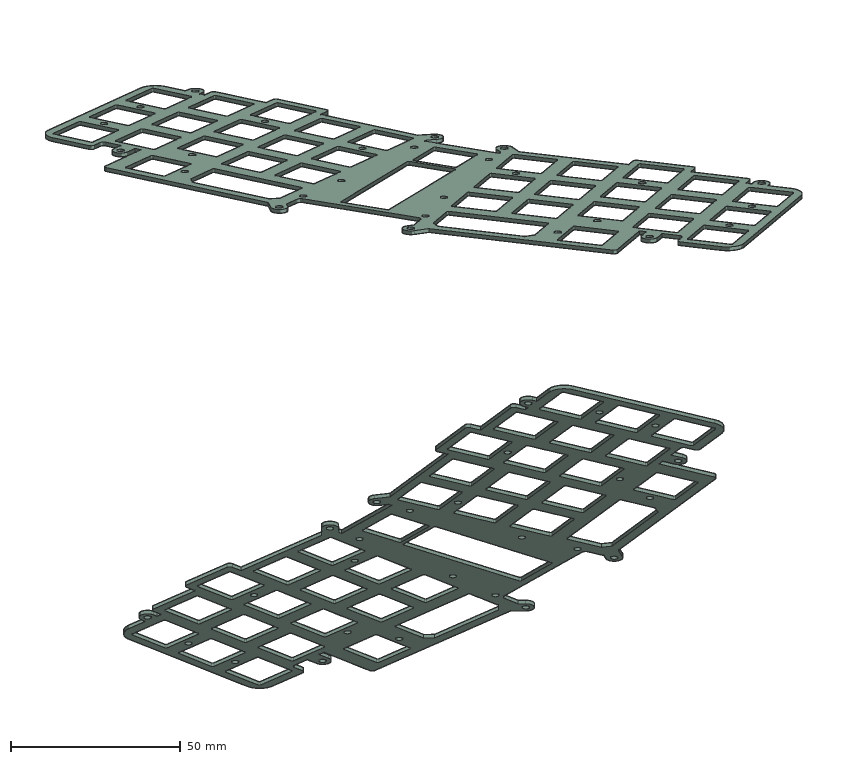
import cadquery as cq
import math

thickness = 1.2
splay_angle = 7.0

column_count = 5
row_count = 3
pitch = 95.2 / column_count
half_pitch = pitch / 2
stagger = pitch / 4
cutout_web = 4.9
cutout = pitch - cutout_web
cutout_radius = 0.5
inner_edge_u = -16.2
inner_rim = 1.71
inner_column_u = inner_edge_u - inner_rim - half_pitch
home_row_v = 4.5
column_steps = [-1, 0, 1, 0, 0]
column_u = [inner_column_u - pitch * (column_count - 1 - i) for i in range(column_count)]
column_v = [home_row_v + stagger * step for step in column_steps]

thumb_v = home_row_v - 2 * pitch
wide_key_u = inner_column_u - half_pitch
wide_cutout = 32.0
wide_corner_cut = 2.3
small_key_units = 1.25
wide_key_units = 2.0
small_key_u = wide_key_u - pitch * (small_key_units + wide_key_units) / 2

top_rims = [1.0, 0.5, 0.35, 0.5, 0.5]
bottom_rim = 0.7
outer_rim = 0.53
thumb_rim = 0.8
column_rim = 0.28
outer_corner_radius = 5.3
corner_radius = 1.2

screw_diameter = 2.1
tab_hole_diameter = 2.2
tab_radius = 2.5
tab_arm = 9.3
screw_inset = 0.8
thumb_screw_inset = 0.2
thumb_screw_rise = 0.7
inner_screw_u = inner_edge_u + screw_inset
thumb_screw_u = inner_edge_u - thumb_screw_inset
top_tab = (-98.7, 30.5)
bottom_tab = (-85.2, -28.0)
inner_top_tab = (-16.0, 35.0)
inner_bottom_tab = (-16.5, -45.5)

bridge_top_y = 31.7
bridge_bottom_y = -33.1
bridge_top_half_width = 16.2
bridge_bottom_half_width = 23.2
upper_window_y = 21.0
upper_window_width = 14.5
lower_window_y = -9.0
lower_window_width = 16.0
lower_window_height = 43.3
bridge_fillet = 1.5


def slab(sketch):
    return sketch.extrude(thickness)


def block(u, v, width, height):
    return slab(cq.Workplane("XY").center(u, v).rect(width, height))


def opening(u, v, width, height):
    return block(u, v, width, height).edges("|Z").fillet(cutout_radius)


def discs(points, diameter):
    return slab(cq.Workplane("XY").pushPoints(points).circle(diameter / 2))


def field_top(column):
    return column_v[column] + pitch * row_count / 2 + top_rims[column]


def field_bottom(column):
    return column_v[column] - pitch * row_count / 2


def half_outline():
    outer_u = column_u[0] - half_pitch - outer_rim
    outer_bottom_v = field_bottom(0) - bottom_rim
    step_1_u = column_u[1] - half_pitch - column_rim
    step_2_u = column_u[2] - half_pitch - column_rim
    step_3_u = column_u[2] + half_pitch + column_rim
    thumb_left_u = small_key_u - half_pitch * small_key_units - thumb_rim
    thumb_bottom_v = thumb_v - half_pitch - bottom_rim
    outline = [
        (outer_u, outer_bottom_v),
        (outer_u, field_top(0)),
        (step_1_u, field_top(0)),
        (step_1_u, field_top(1)),
        (step_2_u, field_top(1)),
        (step_2_u, field_top(2)),
        (step_3_u, field_top(2)),
        (step_3_u, field_top(3)),
        (inner_edge_u, field_top(4)),
        (inner_edge_u, thumb_bottom_v),
        (thumb_left_u, thumb_bottom_v),
        (thumb_left_u, field_bottom(1)),
        (step_1_u, field_bottom(1)),
        (step_1_u, outer_bottom_v),
    ]
    body = slab(cq.Workplane("XY").polyline(outline).close())
    body = body.edges("|Z and <X").fillet(outer_corner_radius)
    for u, v in [
        (step_1_u, field_top(1)),
        (step_2_u, field_top(2)),
        (step_3_u, field_top(2)),
        (thumb_left_u, thumb_bottom_v),
        (step_1_u, field_bottom(1)),
        (step_1_u, outer_bottom_v),
    ]:
        corner_edge = cq.selectors.NearestToPointSelector((u, v, thickness / 2))
        body = body.edges(corner_edge).fillet(corner_radius)
    return body


def straight_tab(center, direction):
    """Round-ended tab whose arm runs along v (direction +1 or -1) into the plate."""
    u, v = center
    arm = block(u, v + direction * tab_arm / 4, 2 * tab_radius, tab_arm / 2)
    return arm.union(discs([center], 2 * tab_radius))


def diagonal_tab(center, direction):
    """Round-ended tab whose arm runs at 45 degrees, toward -u and up (+1) or down (-1)."""
    arm = block(-tab_arm / 2, 0, tab_arm, 2 * tab_radius)
    arm = arm.rotate((0, 0, 0), (0, 0, 1), -45 * direction).translate((*center, 0))
    return arm.union(discs([center], 2 * tab_radius))


def key_openings():
    cuts = []
    for u, middle_v in zip(column_u, column_v):
        for row in range(row_count):
            row_offset = (row - (row_count - 1) / 2) * pitch
            cuts.append(opening(u, middle_v + row_offset, cutout, cutout))
    cuts.append(opening(small_key_u, thumb_v, cutout, cutout))
    wide = block(wide_key_u, thumb_v, wide_cutout, cutout)
    wide = wide.edges("|Z and <Y").chamfer(wide_corner_cut)
    cuts.append(wide.edges("|Z and >Y").fillet(cutout_radius))
    return cuts


def screw_holes():
    points = [
        (column_u[0], column_v[0] + half_pitch),
        (column_u[0], column_v[0] - half_pitch),
        (column_u[2], column_v[2] + half_pitch),
        (column_u[2], column_v[2] - 3 * half_pitch),
        (column_u[4], column_v[4] + half_pitch),
        (inner_screw_u, home_row_v + pitch),
        (inner_screw_u, home_row_v - pitch),
        (thumb_screw_u, thumb_v + thumb_screw_rise),
        (small_key_u + half_pitch, thumb_v),
    ]
    return discs(points, screw_diameter)


def place(half):
    return half.rotate((0, 0, 0), (0, 0, 1), -splay_angle)


body = half_outline()
body = body.union(straight_tab(top_tab, -1)).union(straight_tab(bottom_tab, 1))
body = body.union(diagonal_tab(inner_top_tab, -1)).union(diagonal_tab(inner_bottom_tab, 1))

bridge = slab(
    cq.Workplane("XY").polyline([
        (-bridge_top_half_width, bridge_top_y),
        (bridge_top_half_width, bridge_top_y),
        (bridge_bottom_half_width, bridge_bottom_y),
        (-bridge_bottom_half_width, bridge_bottom_y),
    ]).close()
)
bridge = bridge.cut(opening(0, upper_window_y, upper_window_width, cutout))
bridge = bridge.cut(opening(0, lower_window_y, lower_window_width, lower_window_height))

left = place(body)
plate = bridge.union(left).union(left.mirror("YZ"))

splay = math.radians(splay_angle)
corner_v = (bridge_bottom_y + inner_edge_u * math.sin(splay)) / math.cos(splay)
corner_x = inner_edge_u * math.cos(splay) + corner_v * math.sin(splay)
for side in (-1, 1):
    inside_corner = cq.selectors.NearestToPointSelector((side * corner_x, bridge_bottom_y, thickness / 2))
    plate = plate.edges(inside_corner).fillet(bridge_fillet)

cuts = key_openings() + [screw_holes()]
cuts.append(discs([top_tab, bottom_tab, inner_top_tab, inner_bottom_tab], tab_hole_diameter))
for cut in cuts:
    left_cut = place(cut)
    plate = plate.cut(left_cut).cut(left_cut.mirror("YZ"))

result = plate